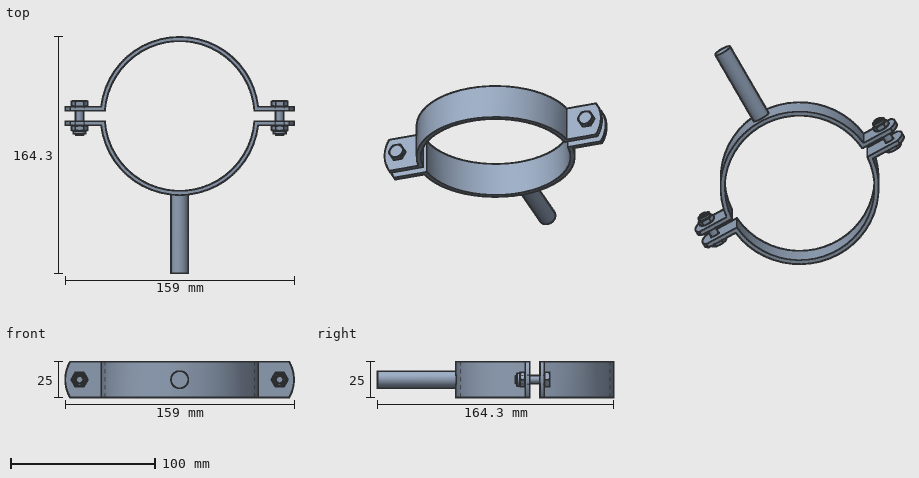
import cadquery as cq
import math

ring_outer_radius = 54.95
wall = 3.0
ring_inner_radius = ring_outer_radius - wall
band_width = 25.0
ear_gap = 7.0
ear_inner_y = ear_gap / 2
ear_outer_y = ear_inner_y + wall
overall_length = 159.0
ear_tip_x = overall_length / 2
ear_tip_radius = 24.5
bolt_x = 69.45
ear_hole_diameter = 6.5

rod_diameter = 12.0
rod_end_y = -109.35

thread_diameter = 6.0
hex_across_flats = 10.0
hex_across_corners = hex_across_flats / math.cos(math.radians(30))
hex_chamfer_angle = 30.0
head_height = 4.0
head_face_diameter = 9.7
washer_face_diameter = 8.9
washer_face_height = 0.4
bolt_length = 20.0
bolt_tip_diameter = 4.92
bolt_tip_chamfer = 1.0
nut_hex_height = 4.0
nut_height = 6.0
nut_face_diameter = 8.9
nut_collar_diameter = nut_face_diameter
nut_collar_chamfer = 0.2


def cylinder_along_y(diameter, start_y, end_y, x=0.0):
    """Cylinder parallel to Y, running from start_y up to end_y."""
    plane = cq.Workplane("XZ", origin=(x, start_y, 0))
    return plane.circle(diameter / 2).extrude(start_y - end_y)


def hexagon_along_y(start_y, end_y, x):
    """Hexagonal prism parallel to Y with two corners pointing along X."""
    plane = cq.Workplane("XZ", origin=(x, start_y, 0))
    return plane.polygon(6, hex_across_corners).extrude(start_y - end_y)


def bevel_corners(body, face_y, inward, face_diameter, x):
    """Bevel hexagon corners at the end face_y with a cone; inward is +1 or -1 along Y."""
    outer_radius = hex_across_corners / 2
    face_radius = face_diameter / 2
    depth = (outer_radius - face_radius) * math.tan(math.radians(hex_chamfer_angle))
    cutter = (
        cq.Workplane("XY", origin=(x, face_y, 0))
        .moveTo(face_radius, 0)
        .lineTo(outer_radius, 0)
        .lineTo(outer_radius, inward * depth)
        .close()
        .revolve(360, (0, 0, 0), (0, 1, 0))
    )
    return body.cut(cutter)


def make_disc(radius):
    """Upright disc as tall as the band, centred on the ring axis."""
    return cq.Workplane("XY").circle(radius).extrude(band_width / 2, both=True)


def make_ears():
    """Pair of flat ears on the +Y side of the gap, as one strip with rounded ends."""
    half_width = band_width / 2
    sagitta = ear_tip_radius - math.sqrt(ear_tip_radius**2 - half_width**2)
    corner_x = ear_tip_x - sagitta
    return (
        cq.Workplane("XZ", origin=(0, ear_inner_y, 0))
        .moveTo(-corner_x, -half_width)
        .lineTo(corner_x, -half_width)
        .threePointArc((ear_tip_x, 0), (corner_x, half_width))
        .lineTo(-corner_x, half_width)
        .threePointArc((-ear_tip_x, 0), (-corner_x, -half_width))
        .close()
        .extrude(-wall)
    )


def make_back_half():
    """Half ring on the +Y side with its two drilled ears."""
    disc = make_disc(ring_outer_radius)
    bore = make_disc(ring_inner_radius)
    keep = cq.Workplane("XY").box(
        overall_length, ring_outer_radius, band_width, centered=(True, False, True)
    )
    half = disc.intersect(keep.translate((0, ear_inner_y, 0)))
    half = half.union(make_ears()).cut(bore)
    for x in (-bolt_x, bolt_x):
        half = half.cut(cylinder_along_y(ear_hole_diameter, ear_inner_y, ear_outer_y, x))
    return half


def make_front_half():
    """Mirrored half ring with the mounting rod, which ends at the bore of the ring."""
    half = make_back_half().mirror("XZ")
    bore = make_disc(ring_inner_radius)
    rod = cylinder_along_y(rod_diameter, rod_end_y, 0).cut(bore)
    return half.union(rod)


def make_bolt(x):
    """Hexagon bolt with a washer face under the head and a chamfered tip."""
    hex_start_y = ear_outer_y + washer_face_height
    head_end_y = ear_outer_y + head_height
    tip_y = ear_outer_y - bolt_length
    head = hexagon_along_y(hex_start_y, head_end_y, x)
    head = bevel_corners(head, head_end_y, -1, head_face_diameter, x)
    washer_face = cylinder_along_y(washer_face_diameter, ear_outer_y, hex_start_y, x)
    shank = cylinder_along_y(thread_diameter, tip_y, ear_outer_y, x)
    tip_step = (thread_diameter - bolt_tip_diameter) / 2
    shank = shank.faces("<Y").chamfer(bolt_tip_chamfer, tip_step)
    return head.union(washer_face).union(shank)


def make_nut(x):
    """Lock nut: hexagon with a round collar, chamfered on its free end."""
    seat_y = -ear_outer_y
    hex_end_y = seat_y - nut_hex_height
    collar_end_y = seat_y - nut_height
    body = hexagon_along_y(hex_end_y, seat_y, x)
    body = bevel_corners(body, seat_y, -1, nut_face_diameter, x)
    body = bevel_corners(body, hex_end_y, 1, nut_face_diameter, x)
    collar = cylinder_along_y(nut_collar_diameter, collar_end_y, hex_end_y, x)
    collar = collar.faces("<Y").chamfer(nut_collar_chamfer)
    return body.union(collar).cut(cylinder_along_y(thread_diameter, collar_end_y, seat_y, x))


back_half = make_back_half()
front_half = make_front_half()
bolts = [make_bolt(x) for x in (-bolt_x, bolt_x)]
nuts = [make_nut(x) for x in (-bolt_x, bolt_x)]

bodies = [back_half, front_half, *bolts, *nuts]
result = cq.Compound.makeCompound([body.val() for body in bodies])